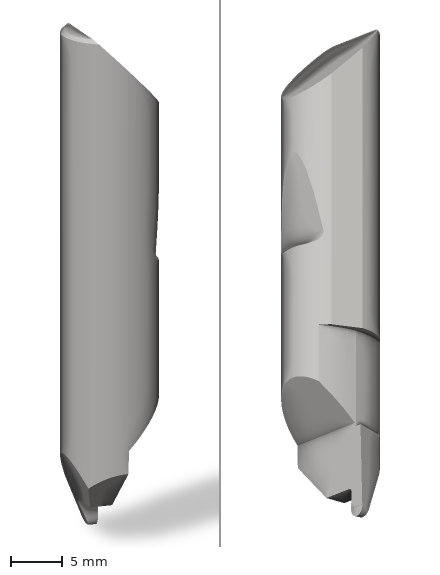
import cadquery as cq
import math

length = 50.8
diameter = 9.55
radius = diameter / 2
top_chamfer = 0.35
clear = 2 * radius

top_cut_y = -3.0
rake_y = 0.15
back_cut_z = 14.15

notch_top = 37.3
notch_bottom = 27.55
notch_depth = 1.2
notch_radius = 1.1

flat_end_y = 3.0

pocket_bottom = 9.2
pocket_top = 19.05
pocket_x = -3.85
pocket_half_width = 3.85
pocket_bulge = 0.2

ball_width = 1.7
ball_right = ball_width - radius
ball_top = 1.0
neck_left = -4.6
neck_right = -3.25
neck_fillet = 0.4
floor_z = 3.05
floor_end_x = 0.55
front_relief_z = 8.6
front_relief_foot_y = -0.8
side_relief = math.tan(math.radians(20))
end_relief = math.tan(math.radians(7))
ball_depth = 2.05


def along_x(outline):
    """Extrude a YZ outline right across the shank."""
    return outline.close().extrude(clear, both=True)


def make_shank():
    shank = cq.Workplane("XY").circle(radius).extrude(length)
    return shank.faces(">Z").chamfer(top_chamfer)


def top_cut():
    rise = clear - top_cut_y
    return along_x(cq.Workplane("YZ").polyline([
        (top_cut_y, length), (clear, length - rise), (clear, length)]))


def back_cut():
    """45 degree cut, ending in the rake face that leans in to the axis at the tip."""
    rake_top = back_cut_z - (radius - rake_y)
    return along_x(cq.Workplane("YZ").polyline([
        (0, 0), (rake_y, rake_top),
        (clear, rake_top + clear - rake_y), (clear, 0)]))


def clamping_notch():
    deep_y = radius - notch_depth
    arc_center = (deep_y + notch_radius, notch_bottom + notch_radius)
    arc_reach = notch_radius * math.sqrt(0.5)
    return along_x(
        cq.Workplane("YZ").moveTo(radius, notch_top)
        .lineTo(deep_y, arc_center[1])
        .threePointArc((arc_center[0] - arc_reach, arc_center[1] - arc_reach),
                       (arc_center[0], notch_bottom))
        .lineTo(clear, notch_bottom)
        .lineTo(clear, notch_top)
    )


def side_flat():
    flat_end_x = -math.sqrt(radius**2 - flat_end_y**2)
    return (
        cq.Workplane("XY").workplane(offset=pocket_bottom)
        .polyline([(-radius, 0), (flat_end_x, flat_end_y), (-clear, flat_end_y), (-clear, 0)])
        .close().extrude(length - pocket_bottom)
    )


def side_pocket():
    """Pocket whose floor is two shallow arcs meeting at Y = 0."""
    w = pocket_half_width
    edge_x = -math.sqrt(radius**2 - w**2)
    middle_x = (pocket_x + edge_x) / 2 - pocket_bulge
    return (
        cq.Workplane("XY").workplane(offset=pocket_bottom).moveTo(edge_x, -w)
        .threePointArc((middle_x, -w / 2), (pocket_x, 0))
        .threePointArc((middle_x, w / 2), (edge_x, w))
        .lineTo(-clear, w)
        .lineTo(-clear, -w)
        .close().extrude(pocket_top - pocket_bottom)
    )


def flank_outline(plane, left):
    """Space left of the tip, its slanted edge passing through X = left at Y = 0."""
    return plane.polyline([
        (left - clear * side_relief, clear), (left + clear * side_relief, -clear),
        (-2 * clear, -clear), (-2 * clear, clear)]).close()


def neck_side_relief():
    """Left flank of the neck, falling away towards the front and leaning in towards the top."""
    lower = flank_outline(cq.Workplane("XY").workplane(offset=ball_top), -radius)
    upper = lower.workplane(offset=pocket_bottom - ball_top)
    return flank_outline(upper, neck_left).loft(ruled=True, combine=True)


def below_floor():
    """Space right of the neck, under the floor and its 45 degree corner."""
    run = clear - floor_end_x
    space = (
        cq.Workplane("XZ")
        .polyline([(ball_right, 0), (ball_right, ball_top), (neck_right, floor_z), (floor_end_x, floor_z),
                   (clear, floor_z + run), (clear, 0)])
        .close().extrude(clear, both=True)
    )
    corner = cq.selectors.NearestToPointSelector((neck_right, 0, floor_z))
    return space.edges(corner).fillet(neck_fillet)


def below_neck():
    return cq.Workplane("XY").box(4 * radius, 4 * radius, ball_top, centered=(True, True, False))


def ball_outline(plane, left, bottom):
    ball_radius = (ball_right - left) / 2
    return (
        plane.moveTo(left, ball_top)
        .lineTo(left, bottom + ball_radius)
        .threePointArc((left + ball_radius, bottom), (ball_right, bottom + ball_radius))
        .lineTo(ball_right, ball_top)
        .close()
    )


def ball_tip():
    """Round-ended tip, narrowing from the rake face towards the front."""
    outlines = ball_outline(cq.Workplane("XZ"), -radius, 0).workplane(offset=ball_depth)
    front_left = -radius + ball_depth * side_relief
    return ball_outline(outlines, front_left, ball_depth * end_relief).loft(ruled=True, combine=True)


def front_relief():
    return along_x(cq.Workplane("YZ").polyline([
        (front_relief_foot_y, 0), (-radius, front_relief_z), (-clear, front_relief_z), (-clear, 0)]))


result = make_shank()
for cutter in (top_cut(), back_cut(), clamping_notch(), side_flat(), side_pocket(),
               neck_side_relief(), below_floor(), below_neck()):
    result = result.cut(cutter)
result = result.union(ball_tip()).cut(front_relief())